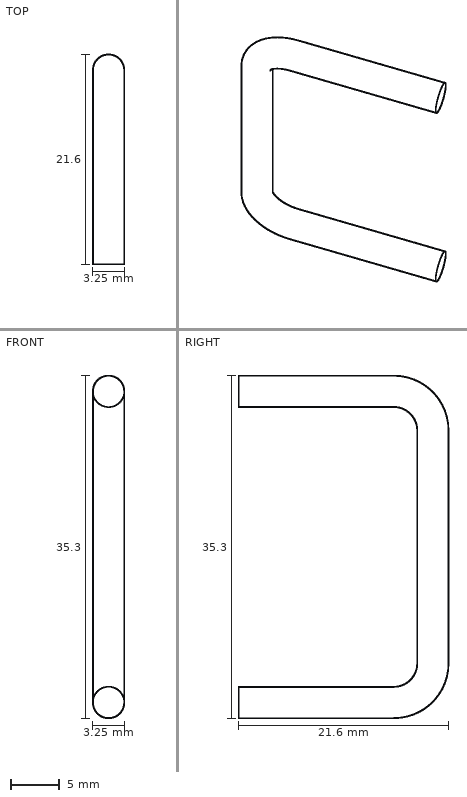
import cadquery as cq

height = 35.25
depth = 21.6
rod_diameter = 3.25
bend_radius = 4.02

rod_radius = rod_diameter / 2
grip_y = depth - rod_radius
leg_z = height / 2 - rod_radius
bend_start_y = grip_y - bend_radius
grip_end_z = leg_z - bend_radius


def centre_line():
    """Lower leg, bend, upright grip, bend and upper leg."""
    return (
        cq.Workplane("YZ")
        .moveTo(0, -leg_z)
        .lineTo(bend_start_y, -leg_z)
        .radiusArc((grip_y, -grip_end_z), -bend_radius)
        .lineTo(grip_y, grip_end_z)
        .radiusArc((bend_start_y, leg_z), -bend_radius)
        .lineTo(0, leg_z)
    )


rod_section = cq.Workplane("XZ").center(0, -leg_z).circle(rod_radius)
result = rod_section.sweep(centre_line())